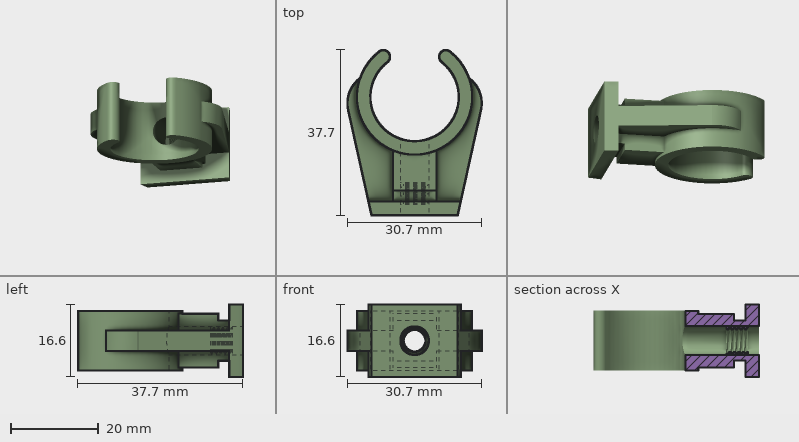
import cadquery as cq
import math


ring_outer_radius = 13.15
ring_inner_radius = 10.05
ring_height = 13.6
tip_angle = 52.1
ring_mid_radius = (ring_outer_radius + ring_inner_radius) / 2
tip_radius = (ring_outer_radius - ring_inner_radius) / 2

overall_length = 37.7
plate_front_width = 19.68
plate_thickness = 3.2
plate_height = 16.6
front_y = ring_mid_radius * math.sin(math.radians(tip_angle)) + tip_radius - overall_length
plate_back_y = front_y + plate_thickness

web_width = 30.7
web_thickness = 4.75
shoulder_radius = 7.05
shoulder_y = -1.45
shoulder_x = web_width / 2 - shoulder_radius

block_width = 9.95
block_height = 12.33
neck_height = 9.25
neck_end_y = front_y + 5.7

bore_diameter = 6.52
sleeve_recess = 2.5
sleeve_length = 5.0
thread_major_radius = 3.0
thread_minor_radius = 2.5
thread_pitch = 1.0
groove_mouth_width = 0.75 * thread_pitch
groove_floor_width = 0.12 * thread_pitch
thread_start_angle = 130.0
sleeve_front_y = front_y + sleeve_recess


def point_at(radius, degrees):
    """The point on a circle about the origin at an angle from the X axis."""
    angle = math.radians(degrees)
    return radius * math.cos(angle), radius * math.sin(angle)


def mirrored(point):
    """The same point on the other side of the YZ plane."""
    return -point[0], point[1]


def slab(height):
    """A workplane from which extruding by the same height gives a slab centred on Z = 0."""
    return cq.Workplane("XY").workplane(offset=-height / 2)


def make_ring():
    """The open C with a round cap on each tip."""
    outer_end = point_at(ring_outer_radius, tip_angle)
    inner_end = point_at(ring_inner_radius, tip_angle)
    tip_centre = point_at(ring_mid_radius, tip_angle)
    cap_offset = point_at(tip_radius, tip_angle + 90)
    cap_middle = (tip_centre[0] + cap_offset[0], tip_centre[1] + cap_offset[1])
    return (
        slab(ring_height)
        .moveTo(*outer_end)
        .threePointArc((0, -ring_outer_radius), mirrored(outer_end))
        .threePointArc(mirrored(cap_middle), mirrored(inner_end))
        .threePointArc((0, -ring_inner_radius), inner_end)
        .threePointArc(cap_middle, outer_end)
        .close()
        .extrude(ring_height)
    )


def side_tangent_angle():
    """Angle at which the straight side, drawn from the front corner, touches the shoulder arc."""
    to_corner_x = plate_front_width / 2 - shoulder_x
    to_corner_y = front_y - shoulder_y
    distance = math.hypot(to_corner_x, to_corner_y)
    return math.atan2(to_corner_y, to_corner_x) + math.acos(shoulder_radius / distance)


def shoulder_point(angle):
    """A point on the right shoulder arc."""
    x = shoulder_x + shoulder_radius * math.cos(angle)
    y = shoulder_y + shoulder_radius * math.sin(angle)
    return x, y


def make_side_profile(height):
    """A slab with the outline shared by the plate and the web, closed off behind the shoulders."""
    corner = (plate_front_width / 2, front_y)
    tangent = shoulder_point(side_tangent_angle())
    widest = (web_width / 2, shoulder_y)
    arc_middle = shoulder_point(math.radians(45))
    arc_end = shoulder_point(math.radians(90))
    lower_middle = shoulder_point(side_tangent_angle() / 2)
    return (
        slab(height)
        .moveTo(*corner)
        .lineTo(*tangent)
        .threePointArc(lower_middle, widest)
        .threePointArc(arc_middle, arc_end)
        .lineTo(*mirrored(arc_end))
        .threePointArc(mirrored(arc_middle), mirrored(widest))
        .threePointArc(mirrored(lower_middle), mirrored(tangent))
        .lineTo(*mirrored(corner))
        .close()
        .extrude(height)
    )


def make_block(start_y, height):
    """A box centred on X = 0 and Z = 0, from start_y into the ring."""
    length = -ring_inner_radius - start_y
    return cq.Workplane("XY").box(block_width, length, height).translate((0, start_y + length / 2, 0))


def make_cylinder(start_y, diameter, length):
    """A cylinder along +Y from start_y."""
    return cq.Workplane("XZ", origin=(0, start_y, 0)).circle(diameter / 2).extrude(-length)


def make_housing():
    plate_zone = (
        cq.Workplane("XY")
        .box(web_width, plate_thickness, plate_height)
        .translate((0, front_y + plate_thickness / 2, 0))
    )
    plate = make_side_profile(plate_height).intersect(plate_zone)
    web = make_side_profile(web_thickness)
    neck = make_block(plate_back_y, neck_height)
    block = make_block(neck_end_y, block_height)
    pipe_space = slab(ring_height).circle(ring_inner_radius).extrude(ring_height)
    support = plate.union(web).union(neck).union(block).cut(pipe_space)
    bore = make_cylinder(front_y, bore_diameter, -front_y)
    return support.union(make_ring()).cut(bore).solids()


def make_thread_groove():
    """The helical groove, from one pitch before the sleeve to one pitch past it."""
    length = sleeve_length + 2 * thread_pitch
    overlap = 0.08
    inner_radius = thread_minor_radius - overlap
    widening = (groove_mouth_width - groove_floor_width) / (thread_major_radius - thread_minor_radius)
    inner_width = groove_mouth_width + widening * overlap
    helix = cq.Wire.makeHelix(thread_pitch, length, thread_minor_radius)
    groove = (
        cq.Workplane("XZ")
        .moveTo(inner_radius, -inner_width / 2)
        .lineTo(thread_major_radius, -groove_floor_width / 2)
        .lineTo(thread_major_radius, groove_floor_width / 2)
        .lineTo(inner_radius, inner_width / 2)
        .close()
        .sweep(cq.Workplane(helix), isFrenet=True)
    )
    return (
        groove.rotate((0, 0, 0), (0, 0, 1), -thread_start_angle)
        .rotate((0, 0, 0), (1, 0, 0), -90)
        .translate((0, sleeve_front_y - thread_pitch, 0))
    )


def make_sleeve():
    body = make_cylinder(sleeve_front_y, bore_diameter, sleeve_length)
    hole_length = sleeve_length + 2 * thread_pitch
    hole = make_cylinder(sleeve_front_y - thread_pitch, 2 * thread_minor_radius, hole_length)
    return body.cut(make_thread_groove()).cut(hole).solids()


housing = make_housing()
sleeve = make_sleeve()

result = cq.Compound.makeCompound([housing.val(), sleeve.val()])